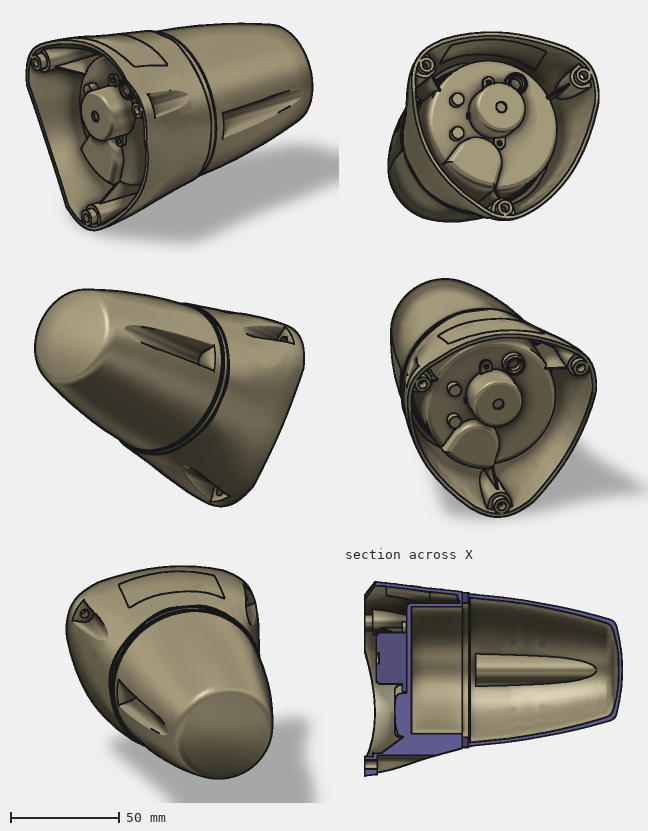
import cadquery as cq
import math

LENGTH = 119.3
WALL = 1.8
EDGE_ROUND = 0.6
CORNER_ANGLES = (30, 150, 270)
SIDE_ANGLES = (90, 210, 330)

HOUSING_TOP = 45.2
RING_TOP = 48.2
LENS_RIM_TOP = 48.9

SKIRT_TOP_RADIUS = 36.3
SKIRT_SECTIONS = (
    (0, 41.0, 49.0),
    (6.0, 40.8, 48.3),
    (15.5, 40.0, 45.8),
    (25.0, 38.6, 42.3),
    (34.6, 37.5, 39.1),
    (HOUSING_TOP, SKIRT_TOP_RADIUS, SKIRT_TOP_RADIUS),
)
HOUSING_TOP_BEVEL = 0.4
CORNER_SPACING = 1
SIDE_SPACING = 2
SKIRT_FLOOR = 42.9
SCALLOP_DEPTH = 4.8
SCALLOP_RADIUS = 95.4
SCALLOP_INNER_REACH = 17.9

BOSS_DISTANCE = 43.7
BOSS_RADIUS = 3.7
SCREW_DIAMETER = 4.0
COLUMN_FRONT = 3.8
COLUMN_RADIUS = 5.4
POCKET_FLOOR = 6.0
POCKET_RADIUS = 4.2
POCKET_FLARE = 15
POCKET_REACH = 14.3

RIB_THICKNESS = 0.8
RIB_INNER = 29.2
RIB_INNER_FRONT = 20.2
RIB_OUTER = 38.5
RIB_OUTER_FRONT = 7.5

CUP_RADIUS = 31.1
PLATE_FRONT = 19.3
PLATE_THICKNESS = 2.4
CUP_EDGE_ROUND = 2.4
GROOVE_RADIUS = 32.1
GROOVE_FLOOR = 44.0
LEDGE_RADIUS = 32.9
LEDGE_HEIGHT = 0.5

HUMP_FRONT = 14.0
HUMP_X = -8.5
HUMP_Z = -18.5
HUMP_RADIUS = 11.8
HUMP_DRAFT = 3
HUMP_LEFT_ANGLE = 144
HUMP_RIGHT_ANGLE = -16
HUMP_WALL_LENGTH = 29.8
HUMP_EDGE_ROUND = 2.6

PEG_FRONT = 15.1
PEG_RADIUS = 2.9
PEG_X = -18.4
PEG_HEIGHTS = (10.3, -5.7)
SOCKET_FRONT = 14.8
SOCKET_X = 10.0
SOCKET_Z = 19.8
SOCKET_RADIUS = 5.0
SOCKET_BORE_RADIUS = 2.9
SOCKET_BEVEL = 0.8

LABEL_HALF_WIDTH = 23.0
LABEL_FRONT = 10.1
LABEL_BACK = 30.0
LABEL_CORNER = 1.2
LABEL_DEPTH = 0.1

SOUNDER_X = -0.2
SOUNDER_Z = 5.5
SOUNDER_DIAMETER = 23.9
SOUNDER_FRONT = 5.4
SOUNDER_EDGE_ROUND = 2.0
SOUND_HOLE_DIAMETER = 5.0
SOUND_HOLE_DEPTH = 1.2
LUG_THICKNESS = 1.9
LUG_RADIUS = 2.6
LUG_OFFSET_X = 2.6
LUG_OFFSET_Z = 14.3
LUG_HOLE_DIAMETER = 2.3
LUG_PILOT_DIAMETER = 1.9
LUG_PILOT_DEPTH = 1.2
TAB_WIDTH = 2.4
TAB_OVERHANG = 0.7
TAB_DROP = 2.0

RING_RADIUS = 35.9
RING_INNER_RADIUS = 31.0
RING_BEVEL = 0.5

LENS_FOOT_RADIUS = 35.5
LENS_RADIUS = 35.2
LENS_MIDDLE_RADIUS = 32.0
LENS_MIDDLE = 76.6
LENS_SHOULDER_RADIUS = 22.8
LENS_CROWN_RADIUS = 81.1
LENS_SHOULDER_ROUND = 4.8
LENS_POCKET_ANGLES = (0, 180)
LENS_POCKET_FLOOR = 53.3
LENS_POCKET_INNER = 24.9
LENS_POCKET_RADIUS = 4.8


def polar(distance, angle):
    return (distance * math.cos(math.radians(angle)), distance * math.sin(math.radians(angle)))


def section_plane(y):
    """Workplane across the main axis, with local x along X and local y along Z."""
    return cq.Workplane("XZ", origin=(0, y, 0))


def prism(sketch, length):
    """Extrude a sketch of section_plane towards +Y."""
    return sketch.extrude(-length)


def rod(x, z, radius, y_start, y_end):
    return prism(section_plane(y_start).center(x, z).circle(radius), y_end - y_start)


def turned(solid, angle):
    """Turn a solid about the main axis from +X towards +Z."""
    return solid.rotate((0, 0, 0), (0, 1, 0), -angle)



def skirt_outline(y, side, tip):
    """Closed three-cornered curve along six tangent 60 degree arcs; a circle where side equals tip."""
    centre_distance = (tip - side) / (2 - math.sqrt(3))
    points = []
    parameters = [0]
    for corner, opposite_side in zip(CORNER_ANGLES, SIDE_ANGLES):
        for middle, radius, centre_angle, spacing in (
            (corner, tip - centre_distance, corner, CORNER_SPACING),
            (opposite_side, side + centre_distance, opposite_side + 180, SIDE_SPACING),
        ):
            centre = polar(centre_distance, centre_angle)
            for turn in (-30, 0):
                arm = polar(radius, middle + turn)
                points.append(cq.Vector(centre[0] + arm[0], y, centre[1] + arm[1]))
                parameters.append(parameters[-1] + spacing)
    return cq.Wire.assembleEdges([cq.Edge.makeSpline(points, periodic=True, parameters=parameters)])


def skirt_body(inset):
    """Solid flared body, its walls moved inwards by the inset."""
    outlines = [skirt_outline(y, side - inset, tip - inset) for y, side, tip in SKIRT_SECTIONS]
    return cq.Workplane(cq.Solid.makeLoft(outlines))


def flared_slot(y_start, y_end, distance, radius):
    """Slot along Y, round on the inside and widening outwards along +X."""
    sine = math.sin(math.radians(POCKET_FLARE))
    cosine = math.cos(math.radians(POCKET_FLARE))
    mouth = radius / cosine + POCKET_REACH * sine / cosine
    sketch = (
        section_plane(y_start)
        .center(distance, 0)
        .moveTo(POCKET_REACH, -mouth)
        .lineTo(-radius * sine, -radius * cosine)
        .threePointArc((-radius, 0), (-radius * sine, radius * cosine))
        .lineTo(POCKET_REACH, mouth)
        .close()
    )
    return prism(sketch, y_end - y_start)


def round_pocket_mouths(body, floor):
    """Round the edges where pockets break through the outer skin, leaving the floor edges sharp."""
    def is_mouth(edge):
        box = edge.BoundingBox()
        slanted = box.ylen > 1.2 and max(box.xlen, box.zlen) > 1.2
        return slanted and abs(box.ymin - floor) < 0.01

    edges = [edge for edge in body.edges().vals() if is_mouth(edge)]
    return body.newObject(edges).fillet(EDGE_ROUND)



def corner_supports():
    """Screw boss, column and rib for one corner, lying along +X."""
    column = flared_slot(COLUMN_FRONT, HOUSING_TOP, BOSS_DISTANCE, COLUMN_RADIUS)
    boss = rod(BOSS_DISTANCE, 0, BOSS_RADIUS, 0, POCKET_FLOOR)
    rib_end = BOSS_DISTANCE - (POCKET_RADIUS + COLUMN_RADIUS) / 2
    rib = (
        cq.Workplane("XY", origin=(0, 0, -RIB_THICKNESS / 2))
        .moveTo(RIB_INNER, RIB_INNER_FRONT)
        .lineTo(RIB_OUTER, RIB_OUTER_FRONT)
        .lineTo(rib_end, RIB_OUTER_FRONT)
        .lineTo(rib_end, HOUSING_TOP)
        .lineTo(RIB_INNER, HOUSING_TOP)
        .close()
        .extrude(RIB_THICKNESS)
    )
    return boss, column, rib


def hump():
    """Rounded hump with two straight walls running off the edge of the plate."""
    def wall_points(angle, turn):
        start = polar(HUMP_RADIUS, angle)
        run = polar(HUMP_WALL_LENGTH, angle + turn)
        return start, (start[0] + run[0], start[1] + run[1])

    left_start, left_end = wall_points(HUMP_LEFT_ANGLE, 90)
    right_start, right_end = wall_points(HUMP_RIGHT_ANGLE, -90)
    crest = polar(HUMP_RADIUS, (HUMP_LEFT_ANGLE + HUMP_RIGHT_ANGLE) / 2)
    depth = PLATE_FRONT + PLATE_THICKNESS - HUMP_FRONT
    sketch = (
        section_plane(HUMP_FRONT + depth)
        .center(HUMP_X, HUMP_Z)
        .moveTo(*left_end)
        .lineTo(*left_start)
        .threePointArc(crest, right_start)
        .lineTo(*right_end)
        .close()
    )
    block = sketch.extrude(depth, taper=HUMP_DRAFT)
    block = block.intersect(rod(0, 0, CUP_RADIUS, HUMP_FRONT, HUMP_FRONT + depth))
    return block.faces("<Y").edges().fillet(HUMP_EDGE_ROUND)


def socket():
    """Bevelled tube that stands on the plate."""
    tube = rod(SOCKET_X, SOCKET_Z, SOCKET_RADIUS, SOCKET_FRONT, PLATE_FRONT)
    tube = tube.cut(rod(SOCKET_X, SOCKET_Z, SOCKET_BORE_RADIUS, SOCKET_FRONT, PLATE_FRONT))
    return tube.faces("<Y").edges().chamfer(SOCKET_BEVEL)


def label_prism():
    width = 2 * LABEL_HALF_WIDTH
    length = LABEL_BACK - LABEL_FRONT
    return (
        cq.Workplane("XY")
        .center(0, (LABEL_FRONT + LABEL_BACK) / 2)
        .rect(width, length)
        .extrude(LENGTH)
        .edges("|Z")
        .fillet(LABEL_CORNER)
    )


def scallop():
    """Cutter that raises the rim along the side facing +X."""
    return (
        cq.Workplane("YZ", origin=(SCALLOP_INNER_REACH, 0, 0))
        .center(SCALLOP_DEPTH - SCALLOP_RADIUS, 0)
        .circle(SCALLOP_RADIUS)
        .extrude(LENGTH)
    )


def make_hollow():
    """Open space under the base: the inner skirt shape less everything that stands in it."""
    hollow = skirt_body(WALL).intersect(rod(0, 0, LENGTH, 0, SKIRT_FLOOR))
    label_backing = label_prism().cut(skirt_body(WALL + LABEL_DEPTH))
    hollow = hollow.cut(label_backing)

    hollow = hollow.union(rod(0, 0, LEDGE_RADIUS, PLATE_FRONT, SKIRT_FLOOR + LEDGE_HEIGHT))
    hollow = hollow.union(rod(0, 0, GROOVE_RADIUS, PLATE_FRONT, GROOVE_FLOOR))

    cup = rod(0, 0, CUP_RADIUS, PLATE_FRONT, HOUSING_TOP).faces("<Y").edges().fillet(CUP_EDGE_ROUND)
    cup = cup.union(hump()).union(socket())
    for z in PEG_HEIGHTS:
        cup = cup.union(rod(PEG_X, z, PEG_RADIUS, PEG_FRONT, PLATE_FRONT + PLATE_THICKNESS))
    hollow = hollow.cut(cup)

    for support in corner_supports():
        for angle in CORNER_ANGLES:
            hollow = hollow.cut(turned(support, angle))
    return hollow


def make_housing():
    body = skirt_body(0).faces(">Y").edges().chamfer(HOUSING_TOP_BEVEL).cut(make_hollow())

    body = body.cut(rod(0, 0, CUP_RADIUS - WALL, PLATE_FRONT + PLATE_THICKNESS, HOUSING_TOP))

    pocket = flared_slot(POCKET_FLOOR, HOUSING_TOP, BOSS_DISTANCE, POCKET_RADIUS)
    for angle in CORNER_ANGLES:
        body = body.cut(turned(pocket, angle))
    body = round_pocket_mouths(body, POCKET_FLOOR)
    screw_hole = rod(BOSS_DISTANCE, 0, SCREW_DIAMETER / 2, 0, POCKET_FLOOR)
    for angle in CORNER_ANGLES:
        body = body.cut(turned(screw_hole, angle))

    for angle in SIDE_ANGLES:
        body = body.cut(turned(scallop(), angle))
    body = body.cut(label_prism().cut(skirt_body(LABEL_DEPTH)))

    for x, z in lug_centres():
        body = body.cut(rod(x, z, LUG_PILOT_DIAMETER / 2, PLATE_FRONT, PLATE_FRONT + LUG_PILOT_DEPTH))
    return body



def lug_centres():
    """Lug centres, opposite each other across the sounder."""
    return [(SOUNDER_X - turn * LUG_OFFSET_X, SOUNDER_Z + turn * LUG_OFFSET_Z) for turn in (1, -1)]


def make_sounder():
    lug_front = PLATE_FRONT - LUG_THICKNESS
    radius = SOUNDER_DIAMETER / 2
    body = rod(SOUNDER_X, SOUNDER_Z, radius, SOUNDER_FRONT, PLATE_FRONT)
    body = body.faces("<Y").edges().fillet(SOUNDER_EDGE_ROUND)
    hole_end = SOUNDER_FRONT + SOUND_HOLE_DEPTH
    body = body.cut(rod(SOUNDER_X, SOUNDER_Z, SOUND_HOLE_DIAMETER / 2, SOUNDER_FRONT, hole_end))

    for x, z in lug_centres():
        arm_sketch = section_plane(lug_front).center(x, (z + SOUNDER_Z) / 2)
        arm = prism(arm_sketch.rect(2 * LUG_RADIUS, LUG_OFFSET_Z), LUG_THICKNESS)
        body = body.union(arm).union(rod(x, z, LUG_RADIUS, lug_front, PLATE_FRONT))
    for x, z in lug_centres():
        body = body.cut(rod(x, z, LUG_HOLE_DIAMETER / 2, lug_front, PLATE_FRONT))

    tab_reach = radius + TAB_OVERHANG
    tab_sketch = section_plane(lug_front).center(SOUNDER_X - tab_reach / 2, SOUNDER_Z - TAB_DROP)
    return body.union(prism(tab_sketch.rect(tab_reach, TAB_WIDTH), LUG_THICKNESS))



def make_ring():
    disc = rod(0, 0, RING_RADIUS, HOUSING_TOP, RING_TOP).faces(">Y").edges().chamfer(RING_BEVEL)
    return disc.cut(rod(0, 0, RING_INNER_RADIUS, HOUSING_TOP, RING_TOP))



def lens_body(inset):
    """Solid of revolution with a bulging side and a crowned top, its surface moved inwards."""
    crown_drop = LENS_CROWN_RADIUS - math.sqrt(LENS_CROWN_RADIUS**2 - LENS_SHOULDER_RADIUS**2)
    half_drop = LENS_CROWN_RADIUS - math.sqrt(LENS_CROWN_RADIUS**2 - (LENS_SHOULDER_RADIUS / 2) ** 2)
    apex = LENGTH - inset
    shoulder = (LENS_SHOULDER_RADIUS - inset, apex - crown_drop)
    profile = (
        cq.Workplane("XY")
        .moveTo(0, RING_TOP)
        .lineTo(LENS_FOOT_RADIUS - inset, RING_TOP)
        .lineTo(LENS_RADIUS - inset, LENS_RIM_TOP)
        .threePointArc((LENS_MIDDLE_RADIUS - inset, LENS_MIDDLE), shoulder)
        .threePointArc((LENS_SHOULDER_RADIUS / 2, apex - half_drop), (0, apex))
        .close()
    )
    body = profile.revolve(360, (0, 0), (0, 1))
    shoulder_edge = cq.selectors.BoxSelector(
        (-LENGTH, shoulder[1] - WALL, -LENGTH), (LENGTH, shoulder[1] + WALL, LENGTH), boundingbox=True
    )
    return body.edges(shoulder_edge).edges("%CIRCLE").fillet(LENS_SHOULDER_ROUND)


def make_lens():
    outer = lens_body(0)
    cavity = lens_body(WALL)
    pocket_centre = LENS_POCKET_INNER + LENS_POCKET_RADIUS
    pocket = flared_slot(LENS_POCKET_FLOOR, LENGTH, pocket_centre, LENS_POCKET_RADIUS)
    column = flared_slot(LENS_POCKET_FLOOR - WALL, LENGTH, pocket_centre, LENS_POCKET_RADIUS + WALL)
    for angle in LENS_POCKET_ANGLES:
        outer = outer.cut(turned(pocket, angle))
        cavity = cavity.cut(turned(column, angle))
    outer = round_pocket_mouths(outer, LENS_POCKET_FLOOR)
    return outer.cut(cavity)


housing = make_housing()
sounder = make_sounder()
ring = make_ring()
lens = make_lens()

result = cq.Compound.makeCompound([housing.val(), sounder.val(), ring.val(), lens.val()])